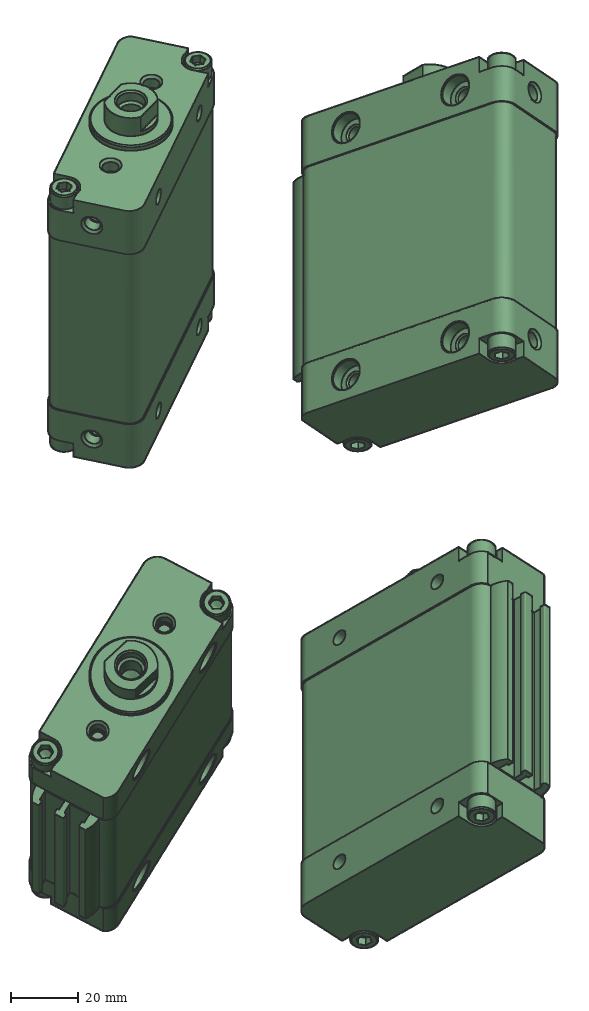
import cadquery as cq
import math


total_height = 110.0
total_depth = 82.0
cap_height = 17.0
barrel_height = 66.9
barrel_bottom = cap_height
upper_cap_bottom = barrel_bottom + barrel_height

cap_width = 30.0
cap_front = 38.5
cap_back = 38.1
cap_corner_radius = 4.8
corner_x = cap_width / 2 - cap_corner_radius
corner_y = cap_front - cap_corner_radius
barrel_inset = 0.4
barrel_corner_radius = cap_corner_radius - barrel_inset
barrel_back = corner_y + barrel_corner_radius

screw_corners = [(-1, -1), (1, 1)]
screw_pocket_depth = 5.2
screw_pocket_diameter = 9.7
screw_pocket_side = 9.2
screw_head_diameter = 8.5
screw_head_chamfer = 0.4
socket_flats = 4.1
socket_depth = 2.8
drill_tip_angle = 118.0

hole_spacing = 40.0
hole_height = 8.5
mounting_diameter = 5.0
mounting_chamfer = 0.5
counterbore_diameter = 9.7
counterbore_depth = 4.5
counterbore_chamfer = 0.3
port_mouth_diameter = 6.6
port_diameter = 5.0
port_depth = 4.4
port_core_diameter = 4.0
port_core_depth = 5.5

collar_diameter = 25.0
collar_height = 1.9
collar_chamfer = 0.4
rod_diameter = 16.0
wrench_flats = 13.0
wrench_flat_length = 5.7
wrench_flat_angle = -15.0
rod_mouth_diameter = 9.7
rod_bore_diameter = 8.6
rod_bore_depth = 3.7
rod_step_height = 0.5
rod_core_diameter = 6.6
rod_core_depth = 11.0

rail_top = total_depth - cap_front
rail_floor = 38.4
rail_head_height = 1.9
rail_round = 0.4
tee_head_width = 3.3
tee_stem_width = 1.9
hook_lip_x = 6.8
hook_inner_x = 7.6
hook_foot_x = 10.9
hook_middle_x = 10.5
hook_tip_x = 9.1


def cone_tip(diameter):
    """Depth of the conical end left by a drill of this diameter."""
    return diameter / 2 / math.tan(math.radians(drill_tip_angle / 2))


def rounded_section(bottom, height, corner_radius):
    """Block with four corner columns, each centred on a screw axis."""
    return (
        cq.Workplane("XY", origin=(0, 0, bottom))
        .rect(2 * (corner_x + corner_radius), 2 * (corner_y + corner_radius))
        .extrude(height)
        .edges("|Z")
        .fillet(corner_radius)
    )


def make_port():
    """Tool for a threaded port entering from z = 0 downwards: chamfer, bore and core hole."""
    mouth_depth = (port_mouth_diameter - port_diameter) / 2
    return (
        cq.Workplane("XZ")
        .polyline([
            (0, 0),
            (port_mouth_diameter / 2, 0),
            (port_diameter / 2, -mouth_depth),
            (port_diameter / 2, -port_depth),
            (port_core_diameter / 2, -port_depth),
            (port_core_diameter / 2, -port_core_depth),
            (0, -port_core_depth),
        ])
        .close()
        .revolve(360, (0, 0, 0), (0, 1, 0))
    )


def make_mounting_hole(y):
    """Tool for a hole along X, counterbored at the -X face, both steps chamfered."""
    counterbore_radius = counterbore_diameter / 2
    radius = mounting_diameter / 2
    face = -cap_width / 2
    step = face + counterbore_depth
    return (
        cq.Workplane("XY")
        .polyline([
            (face, 0),
            (face, counterbore_radius + counterbore_chamfer),
            (face + counterbore_chamfer, counterbore_radius),
            (step, counterbore_radius),
            (step, radius + mounting_chamfer),
            (step + mounting_chamfer, radius),
            (-face, radius),
            (-face, 0),
        ])
        .close()
        .revolve(360, (0, 0, 0), (1, 0, 0))
        .translate((0, y, cap_height - hole_height))
    )


def make_screw_pocket(side_x, side_y):
    """Tool for a corner recess: straight walls joined by a round clearance behind the screw."""
    radius = screw_pocket_diameter / 2
    axis_inset = cap_width / 2 - corner_x
    reach = screw_pocket_side - axis_inset
    arc_middle = radius * math.sqrt(0.5)
    arc_start = math.sqrt(radius**2 - reach**2)
    pocket = (
        cq.Workplane("XY")
        .moveTo(-axis_inset, -axis_inset)
        .lineTo(reach, -axis_inset)
        .lineTo(reach, -arc_start)
        .threePointArc((arc_middle, arc_middle), (0, radius))
        .lineTo(-axis_inset, radius)
        .close()
        .extrude(screw_pocket_depth)
    )
    if side_x > 0:
        pocket = pocket.rotate((0, 0, 0), (0, 0, 1), 180)
    return pocket.translate((side_x * corner_x, side_y * corner_y, cap_height - screw_pocket_depth))


def make_screw_head(side_x, side_y):
    """Screw head on the pocket floor, with a hexagonal socket ending in a drilled cone."""
    across_corners = socket_flats / math.cos(math.pi / 6)
    socket_floor = screw_pocket_depth - socket_depth
    head = (
        cq.Workplane("XY")
        .circle(screw_head_diameter / 2)
        .extrude(screw_pocket_depth)
        .faces(">Z")
        .chamfer(screw_head_chamfer)
    )
    socket = (
        cq.Workplane("XY", origin=(0, 0, socket_floor))
        .transformed(rotate=(0, 0, 90))
        .polygon(6, across_corners)
        .extrude(socket_depth)
    )
    cone_height = cone_tip(socket_flats)
    cone = cq.Workplane(cq.Solid.makeCone(
        0, socket_flats / 2, cone_height, cq.Vector(0, 0, socket_floor - cone_height)
    ))
    floor = cap_height - screw_pocket_depth
    return head.cut(socket).cut(cone).translate((side_x * corner_x, side_y * corner_y, floor))


def make_cap():
    """End cap with its outer face up at z = cap_height and its barrel face at z = 0."""
    cap = rounded_section(0, cap_height, cap_corner_radius)
    back_trim = cq.Workplane("XY").box(cap_width, cap_front, cap_height, centered=(True, False, False))
    cap = cap.cut(back_trim.translate((0, cap_back, 0)))
    for side_x, side_y in screw_corners:
        cap = cap.cut(make_screw_pocket(side_x, side_y))
        cap = cap.union(make_screw_head(side_x, side_y))
    for side in (-1, 1):
        cap = cap.cut(make_mounting_hole(side * hole_spacing / 2))
    front_port = make_port().rotate((0, 0, 0), (1, 0, 0), 90)
    return cap.cut(front_port.translate((0, -cap_front, cap_height - hole_height)))


def make_upper_cap():
    """Cap with the rod guide collar, the rod hole and two ports in its top face."""
    cap = make_cap()
    collar = (
        cq.Workplane("XY", origin=(0, 0, cap_height))
        .circle(collar_diameter / 2)
        .extrude(collar_height)
        .faces(">Z")
        .chamfer(collar_chamfer)
    )
    rod_hole = cq.Workplane("XY").circle(rod_diameter / 2).extrude(cap_height + collar_height)
    cap = cap.union(collar).cut(rod_hole)
    for side in (-1, 1):
        cap = cap.cut(make_port().translate((0, side * hole_spacing / 2, cap_height)))
    return cap.translate((0, 0, upper_cap_bottom))


def make_lower_cap():
    """Plain cap turned over, so that its screws face down."""
    return make_cap().mirror("XY").translate((0, 0, cap_height))


def make_tee_rail():
    """Middle rail with a T section."""
    lip_y = rail_top - rail_head_height
    head = (
        cq.Workplane("XY", origin=(0, 0, barrel_bottom))
        .center(0, (rail_top + lip_y) / 2)
        .rect(tee_head_width, rail_head_height)
        .extrude(barrel_height)
        .edges("|Z and >Y")
        .fillet(rail_round)
    )
    stem = (
        cq.Workplane("XY", origin=(0, 0, barrel_bottom))
        .center(0, (rail_floor + lip_y) / 2)
        .rect(tee_stem_width, lip_y - rail_floor)
        .extrude(barrel_height)
    )
    return head.union(stem)


def make_hook_rail():
    """Rail on the +X side: a curved outer flank and a lip that points to the middle."""
    lip_y = rail_top - rail_head_height
    return (
        cq.Workplane("XY", origin=(0, 0, barrel_bottom))
        .moveTo(hook_foot_x, barrel_back)
        .threePointArc((hook_middle_x, (barrel_back + rail_top) / 2), (hook_tip_x, rail_top))
        .lineTo(hook_lip_x + rail_round, rail_top)
        .radiusArc((hook_lip_x, rail_top - rail_round), -rail_round)
        .lineTo(hook_lip_x, lip_y)
        .lineTo(hook_inner_x, lip_y)
        .lineTo(hook_inner_x, barrel_back)
        .close()
        .extrude(barrel_height)
    )


def make_barrel():
    """Barrel with three rails on its back and a raised strip between the outer two."""
    barrel = rounded_section(barrel_bottom, barrel_height, barrel_corner_radius)
    strip = (
        cq.Workplane("XY", origin=(0, 0, barrel_bottom))
        .center(0, (corner_y + rail_floor) / 2)
        .rect(2 * hook_inner_x, rail_floor - corner_y)
        .extrude(barrel_height)
    )
    hook = make_hook_rail()
    return barrel.union(strip).union(make_tee_rail()).union(hook).union(hook.mirror("YZ"))


def make_rod():
    """Piston rod with two wrench flats and a drilled hole in its end, narrowing at a conical step."""
    rod_length = total_height - upper_cap_bottom
    rod = (
        cq.Workplane("XY", origin=(0, 0, upper_cap_bottom))
        .circle(rod_diameter / 2)
        .extrude(rod_length)
    )
    flat_ring = (
        cq.Workplane("XY", origin=(0, 0, total_height - wrench_flat_length))
        .rect(2 * rod_diameter, 2 * rod_diameter)
        .rect(wrench_flats, 2 * rod_diameter)
        .extrude(wrench_flat_length)
        .rotate((0, 0, 0), (0, 0, 1), wrench_flat_angle)
    )
    mouth_depth = (rod_mouth_diameter - rod_bore_diameter) / 2
    bore = (
        cq.Workplane("XZ", origin=(0, 0, total_height))
        .polyline([
            (0, 0),
            (rod_mouth_diameter / 2, 0),
            (rod_bore_diameter / 2, -mouth_depth),
            (rod_bore_diameter / 2, -rod_bore_depth),
            (rod_core_diameter / 2, -rod_bore_depth - rod_step_height),
            (rod_core_diameter / 2, -rod_core_depth),
            (0, -rod_core_depth - cone_tip(rod_core_diameter)),
        ])
        .close()
        .revolve(360, (0, 0, 0), (0, 1, 0))
    )
    return rod.cut(flat_ring).cut(bore)


lower_cap = make_lower_cap()
barrel = make_barrel()
upper_cap = make_upper_cap()
rod = make_rod()

result = cq.Compound.makeCompound([
    lower_cap.solids().val(),
    barrel.solids().val(),
    upper_cap.solids().val(),
    rod.solids().val(),
])